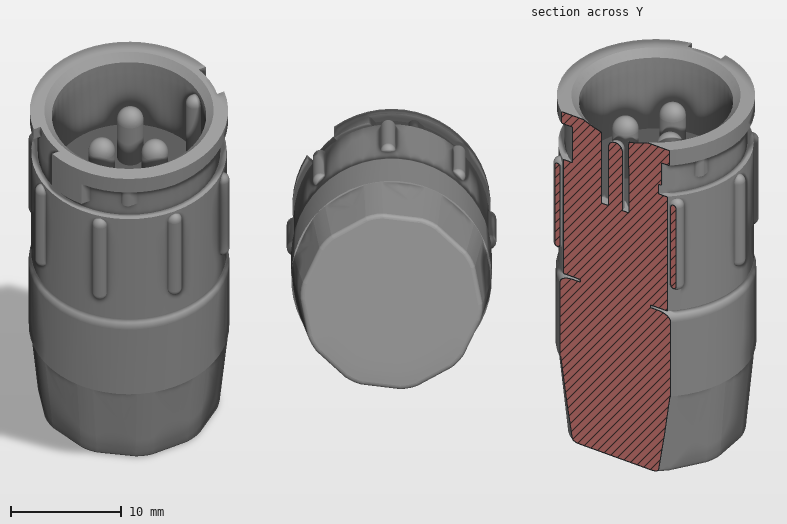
import cadquery as cq
import math

total_height = 35.63
overall_diameter = 18.92

flange_thickness = 1.7
neck_height = 5.14
barrel_height = 12.5
groove_width = 0.24
collar_height = 8.95

flange_radius = 8.95
neck_radius = 8.25
barrel_radius = 8.83
groove_radius = 7.8
collar_radius = 9.06
collar_fillet = 0.85

grip_facets = 10
grip_bottom_facet_reach = 8.0
grip_bottom_corner_reach = 8.22
grip_top_facet_reach = 8.88
grip_top_corner_reach = 9.03
grip_corner_half_width = 0.8
grip_corner_crown = 0.07
grip_bottom_fillet = 0.4

rib_count = 8
rib_radius = 0.67
rib_top_gap = 0.3
rib_length = 9.86

slot_half_width = 1.8
ramp_rise = 0.5
block_end_x = 4.97
block_height = 4.16
stop_x = 7.64
stop_root_x = 6.93
stop_inner_y = 3.0
stop_round_y = 3.89
stop_outer_y = 4.4
stop_round_radius = 0.6
stop_height = 3.75

bore_radius = 6.97
bore_chamfer = 0.67
bore_depth = 8.4
pin_count = 3
pin_radius = 1.2
pin_circle_radius = 2.77
pin_tip_depth = 2.57
key_radius = 0.77
key_centre_y = 6.67
key_tip_depth = 1.26
marker_x = -2.05
marker_y = 4.06
marker_radius = 0.25

rim_z = total_height
barrel_top_z = rim_z - neck_height
barrel_bottom_z = barrel_top_z - barrel_height
collar_top_z = barrel_bottom_z - groove_width
collar_bottom_z = collar_top_z - collar_height
flange_bottom_z = rim_z - flange_thickness
floor_z = rim_z - bore_depth


def disc(radius, bottom_z, top_z, x=0, y=0):
    return cq.Workplane("XY", origin=(x, y, bottom_z)).circle(radius).extrude(top_z - bottom_z)


def block(x_range, y_range, z_range):
    """Box spanning the given (low, high) ranges."""
    size = [high - low for low, high in (x_range, y_range, z_range)]
    corner = (x_range[0], y_range[0], z_range[0])
    return cq.Workplane("XY").box(*size, centered=False).translate(corner)


def ball(radius, x, y, z):
    return cq.Workplane("XY").sphere(radius).translate((x, y, z))


def domed_post(radius, x, y, bottom_z, tip_z):
    dome_z = tip_z - radius
    return disc(radius, bottom_z, dome_z, x, y).union(ball(radius, x, y, dome_z))


def half_turn(solid):
    return solid.rotate((0, 0, 0), (0, 0, 1), 180)


def grip_section(z, facet_reach, corner_reach):
    """Closed outline of shallow facet arcs joined by rounded corners, with a corner on the Y axis."""
    shoulder_reach = corner_reach - grip_corner_crown
    shoulder_radius = math.hypot(shoulder_reach, grip_corner_half_width)
    shoulder_angle = math.atan2(grip_corner_half_width, shoulder_reach)
    pitch = 2 * math.pi / grip_facets

    def at(radius, angle):
        return radius * math.cos(angle), radius * math.sin(angle)

    first_corner = math.pi / 2
    outline = cq.Workplane("XY", origin=(0, 0, z))
    outline = outline.moveTo(*at(shoulder_radius, first_corner - shoulder_angle))
    for index in range(grip_facets):
        corner = first_corner + index * pitch
        outline = outline.threePointArc(at(corner_reach, corner), at(shoulder_radius, corner + shoulder_angle))
        next_shoulder = at(shoulder_radius, corner + pitch - shoulder_angle)
        outline = outline.threePointArc(at(facet_reach, corner + pitch / 2), next_shoulder)
    return outline.close().val()


def make_grip():
    """Tapered ten-sided grip with a rounded bottom edge."""
    bottom = grip_section(0, grip_bottom_facet_reach, grip_bottom_corner_reach)
    top = grip_section(collar_bottom_z, grip_top_facet_reach, grip_top_corner_reach)
    grip = cq.Workplane(cq.Solid.makeLoft([bottom, top], True))
    return grip.faces("<Z").edges().fillet(grip_bottom_fillet)


def make_collar():
    return disc(collar_radius, collar_bottom_z, collar_top_z).faces(">Z").edges().fillet(collar_fillet)


def make_rib(angle):
    """Round bar with ball ends, half sunk in the barrel and turned to the given angle."""
    axis_radius = overall_diameter / 2 - rib_radius
    upper_z = barrel_top_z - rib_top_gap - rib_radius
    lower_z = barrel_top_z - rib_top_gap - rib_length + rib_radius
    rib = domed_post(rib_radius, axis_radius, 0, lower_z, upper_z + rib_radius)
    rib = rib.union(ball(rib_radius, axis_radius, 0, lower_z))
    return rib.rotate((0, 0, 0), (0, 0, 1), angle)


def make_slot_and_ramp_cutter():
    """Entry slot on the -Y side and the sloped flange underside that leads from -X to it."""
    reach = 2 * flange_radius
    slot = block((-slot_half_width, slot_half_width), (-reach, 0), (barrel_top_z, rim_z))
    slot_edge_y = math.sqrt(flange_radius**2 - slot_half_width**2)
    reach_rise = ramp_rise * reach / slot_edge_y
    ramp = (
        cq.Workplane("YZ", origin=(-reach, 0, 0))
        .moveTo(0, flange_bottom_z)
        .lineTo(-reach, flange_bottom_z)
        .lineTo(-reach, flange_bottom_z + reach_rise)
        .close()
        .extrude(reach - slot_half_width)
    )
    return slot.union(ramp)


def make_lock_block():
    """Thick stretch of the flange beside the entry slot."""
    outline = disc(flange_radius, rim_z - block_height, rim_z)
    limits = block((slot_half_width, block_end_x), (-flange_radius, 0), (barrel_top_z, rim_z))
    return outline.intersect(limits)


def make_stop():
    """Small stop under the flange with one rounded side, rooted in the neck wall."""
    return (
        cq.Workplane("XY", origin=(0, 0, rim_z - stop_height))
        .moveTo(stop_root_x, -stop_inner_y)
        .lineTo(stop_x, -stop_inner_y)
        .lineTo(stop_x, -stop_round_y)
        .radiusArc((stop_root_x, -stop_outer_y), stop_round_radius)
        .close()
        .extrude(stop_height - flange_thickness)
    )


def make_lock():
    lock = disc(flange_radius, flange_bottom_z, rim_z)
    cutter = make_slot_and_ramp_cutter()
    lock = lock.cut(cutter).cut(half_turn(cutter))
    for feature in (make_lock_block(), make_stop()):
        lock = lock.union(feature).union(half_turn(feature))
    return lock


def make_bore():
    bore = disc(bore_radius, floor_z, rim_z)
    chamfer = (
        cq.Workplane("XY", origin=(0, 0, rim_z - bore_chamfer))
        .circle(bore_radius)
        .workplane(offset=bore_chamfer)
        .circle(bore_radius + bore_chamfer)
        .loft()
    )
    return bore.union(chamfer)


def make_key():
    """Round-nosed rail on the +Y bore wall with a rounded top."""
    root_y = (bore_radius + neck_radius) / 2
    dome_z = rim_z - key_tip_depth - key_radius
    rail = domed_post(key_radius, 0, key_centre_y, floor_z, rim_z - key_tip_depth)
    web = block((-key_radius, key_radius), (key_centre_y, root_y), (floor_z, dome_z))
    crest = (
        cq.Workplane("XZ", origin=(0, key_centre_y, dome_z))
        .circle(key_radius)
        .extrude(key_centre_y - root_y)
    )
    return rail.union(web).union(crest)


def make_pins():
    pins = cq.Workplane("XY")
    for index in range(pin_count):
        angle = math.radians(-90 + index * 360 / pin_count)
        x = pin_circle_radius * math.cos(angle)
        y = pin_circle_radius * math.sin(angle)
        pins = pins.union(domed_post(pin_radius, x, y, floor_z, rim_z - pin_tip_depth))
    return pins


body = make_grip().union(make_collar())
body = body.union(disc(groove_radius, collar_top_z, barrel_bottom_z))
body = body.union(disc(barrel_radius, barrel_bottom_z, barrel_top_z))
body = body.union(make_lock())
body = body.union(disc(neck_radius, barrel_top_z, rim_z))
for rib_index in range(rib_count):
    body = body.union(make_rib(rib_index * 360 / rib_count))

body = body.cut(make_bore())
body = body.union(make_key())
body = body.union(make_pins())
body = body.union(ball(marker_radius, marker_x, marker_y, floor_z))

result = body